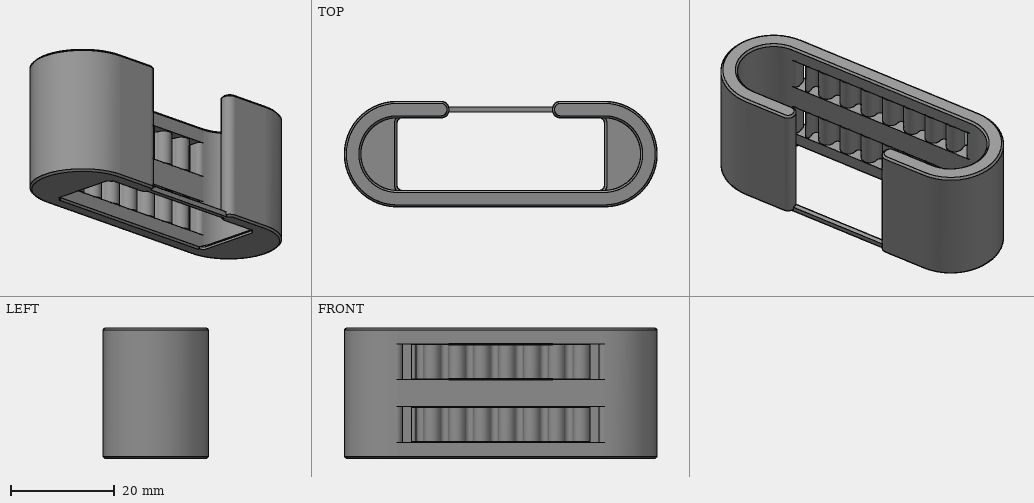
import cadquery as cq

straight_length = 40.0
outer_radius = 10.2
wall = 3.2
height = 25.2
edge_chamfer = 0.4
inner_radius = outer_radius - wall
end_x = straight_length / 2
mid_wall_y = outer_radius - wall / 2

gap_width = 20.0
tip_fillet = 1.5

border = 3.1
window_height = 6.9
window_fillet = 1.0
window_bases = (border, height - border - window_height)

floor_thickness = 1.0
floor_chamfer = 0.5
floor_corner = 1.0
floor_overlap = wall / 2
bar_thickness = 1.0

spring_thickness = 0.8
loop_radius = 1.2
half_loops = 14
spring_clearance = 0.15
spring_height = window_height - 2 * spring_clearance

select_margin = 0.1


def stadium(radius, depth):
    """Stadium-shaped slab around the two end centres."""
    length = straight_length + 2 * radius
    return cq.Workplane("XY").slot2D(length, 2 * radius).extrude(depth)


def make_band():
    """C-shaped wall with rounded tips and chamfered rims."""
    band = stadium(outer_radius, height).cut(stadium(inner_radius, height))
    gap = (
        cq.Workplane("XY")
        .center(0, mid_wall_y)
        .rect(gap_width, 2 * wall)
        .extrude(height)
    )
    band = band.cut(gap)
    tip_region = cq.selectors.BoxSelector(
        (-gap_width / 2 - select_margin, 0, 0),
        (gap_width / 2 + select_margin, outer_radius + select_margin, height),
    )
    band = band.edges("|Z").edges(tip_region).fillet(tip_fillet)
    return band.faces("<Z or >Z").edges().chamfer(edge_chamfer)


def make_end_floors():
    """Half-disc floors closing the two round ends, with a chamfered inner edge."""
    opening = (
        cq.Workplane("XY")
        .rect(straight_length, 2 * inner_radius)
        .extrude(floor_thickness)
        .edges("|Z")
        .fillet(floor_corner)
    )
    floors = stadium(inner_radius + floor_overlap, floor_thickness).cut(opening)
    opening_edges = cq.selectors.BoxSelector(
        (-end_x - select_margin, -inner_radius - select_margin, floor_thickness - select_margin),
        (end_x + select_margin, inner_radius + select_margin, floor_thickness + select_margin),
    )
    floors = floors.faces(">Z").edges(opening_edges).chamfer(floor_chamfer)
    middle = (
        cq.Workplane("XY")
        .rect(straight_length - 2 * floor_corner, 2 * outer_radius)
        .extrude(floor_thickness)
    )
    return floors.cut(middle)


def make_tip_bar():
    """Thin bar across the gap, centred on the wall thickness."""
    bar_length = gap_width + 2 * tip_fillet
    return (
        cq.Workplane("XY")
        .center(0, mid_wall_y)
        .rect(bar_length, bar_thickness)
        .extrude(bar_thickness)
    )


def make_window_cutter(base):
    """Window through the front wall; its two side walls have edges rounded front and back."""
    side_x = end_x - window_fillet
    front_y = -outer_radius
    back_y = -inner_radius
    half = (
        cq.Workplane("XY", origin=(0, 0, base))
        .moveTo(0, front_y)
        .lineTo(end_x, front_y)
        .radiusArc((side_x, front_y + window_fillet), window_fillet)
        .lineTo(side_x, back_y - window_fillet)
        .radiusArc((end_x, back_y), window_fillet)
        .lineTo(0, back_y)
        .close()
        .extrude(window_height)
    )
    return half.union(half.mirror("YZ"))


def make_housing():
    housing = make_band().union(make_end_floors()).union(make_tip_bar())
    for base in window_bases:
        housing = housing.cut(make_window_cutter(base))
    return housing


def make_half_loop(center_x, side):
    """Half ring of the spring; side is +1 when it bulges to +Y and -1 to -Y."""
    outer = loop_radius + spring_thickness / 2
    inner = loop_radius - spring_thickness / 2
    return (
        cq.Workplane("XY")
        .moveTo(center_x - outer, 0)
        .threePointArc((center_x, side * outer), (center_x + outer, 0))
        .lineTo(center_x + inner, 0)
        .threePointArc((center_x, side * inner), (center_x - inner, 0))
        .close()
        .extrude(spring_height)
    )


def make_leg(x, side):
    """Straight, round-ended leg that ends the spring, running to the given Y side."""
    half = spring_thickness / 2
    return (
        cq.Workplane("XY")
        .moveTo(x - half, 0)
        .lineTo(x - half, side * loop_radius)
        .threePointArc((x, side * (loop_radius + half)), (x + half, side * loop_radius))
        .lineTo(x + half, 0)
        .close()
        .extrude(spring_height)
    )


def make_spring(base):
    """Serpentine strip of alternating half loops with a leg at each end."""
    reach = half_loops * loop_radius
    spring = make_leg(-reach, -1)
    for index in range(half_loops):
        side = 1 if index % 2 == 0 else -1
        spring = spring.union(make_half_loop((2 * index + 1) * loop_radius - reach, side))
    spring = spring.union(make_leg(reach, 1))
    return spring.translate((0, -mid_wall_y, base + spring_clearance))


housing = make_housing()
springs = [make_spring(base) for base in window_bases]

result = cq.Compound.makeCompound([housing.solids().val(), *[spring.solids().val() for spring in springs]])